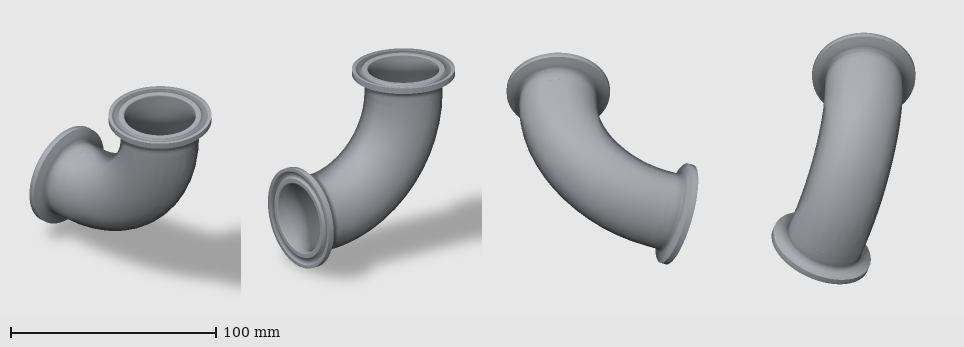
import cadquery as cq

overall_size = 88.7
flange_diameter = 50.4
pipe_diameter = 38.1
bore_diameter = 34.8
ferrule_length = 12.6

rim_thickness = 2.9
cone_height = 2.2
neck_fillet = 1.6
mouth_fillet = 0.7
groove_radius = 21.7
groove_half_width = 1.5
groove_depth = 1.4
groove_lip_fillet = 0.5

flange_radius = flange_diameter / 2
pipe_radius = pipe_diameter / 2
bore_radius = bore_diameter / 2
port_offset = overall_size - flange_radius
bend_radius = port_offset - ferrule_length


def make_ferrule():
    """Ferrule about the Z axis: sealing face at the top, pipe end at Z = 0."""
    rim_bottom = ferrule_length - rim_thickness
    cone_bottom = rim_bottom - cone_height
    body = (
        cq.Workplane("XZ")
        .moveTo(bore_radius, 0)
        .lineTo(pipe_radius, 0)
        .lineTo(pipe_radius, cone_bottom)
        .lineTo(flange_radius, rim_bottom)
        .lineTo(flange_radius, ferrule_length)
        .lineTo(groove_radius + groove_half_width, ferrule_length)
        .threePointArc(
            (groove_radius, ferrule_length - groove_depth),
            (groove_radius - groove_half_width, ferrule_length),
        )
        .lineTo(bore_radius, ferrule_length)
        .close()
        .revolve(360, (0, 0, 0), (0, 1, 0))
    )

    def rings(radius, height):
        """Select the circular edges of one radius at one height."""
        tolerance = 0.01
        return body.edges("%CIRCLE").filter(
            lambda edge: abs(edge.radius() - radius) < tolerance
            and abs(edge.Center().z - height) < tolerance
        )

    body = rings(pipe_radius, cone_bottom).fillet(neck_fillet)
    body = rings(bore_radius, ferrule_length).fillet(mouth_fillet)
    for side in (-1, 1):
        lip_radius = groove_radius + side * groove_half_width
        body = rings(lip_radius, ferrule_length).fillet(groove_lip_fillet)
    return body


def make_elbow():
    """Quarter-turn tube from the -X ferrule up to the +Z ferrule."""
    return (
        cq.Workplane("YZ")
        .circle(pipe_radius)
        .circle(bore_radius)
        .revolve(90, (0, bend_radius, 0), (-1, bend_radius, 0))
        .translate((ferrule_length, 0, flange_radius))
    )


elbow = make_elbow()
ferrules = []
for turn, pipe_end in (
    (-90, (ferrule_length, 0, flange_radius)),
    (0, (port_offset, 0, overall_size - ferrule_length)),
):
    ferrules.append(make_ferrule().rotate((0, 0, 0), (0, 1, 0), turn).translate(pipe_end))

result = cq.Compound.makeCompound([elbow.val(), *[ferrule.val() for ferrule in ferrules]])